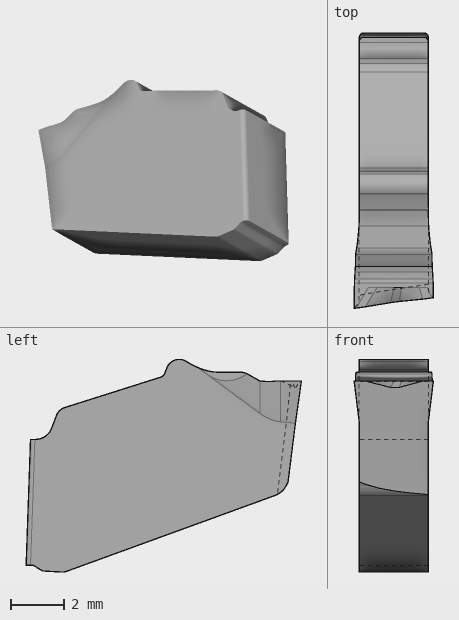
import cadquery as cq
import math


SHANK_HALF_WIDTH = 1.3
HEAD_HALF_WIDTH = 1.497
BLANK_HALF_WIDTH = 2.0

LAND_Z = 7.2
LAND_DIP = 0.02
DECK_Z = 7.525
SEAT_Z = 5.0
REAR_FOOT_Z = 0.26
BOTTOM_SLOPE = math.tan(math.radians(20))
RAMP_SLOPE = 0.317
REAR_FALL = math.tan(math.radians(2))
REAR_BOTTOM_Y = 10.36
KEEL_Y = 8.92
CHIN_Y = 0.705
CHIN_SLOPE = 2.0
BLANK_FRONT_Y = -0.3
REAR_EDGE_RADIUS = 0.17

LEAD_SLOPE = 0.134
NOSE_CLEARANCE = 0.125

SIDE_RELIEF = 0.122
FRONT_TAPER = 0.011
BACK_TAPER = 0.09
RELIEF_CORNER_Y = 1.18
RELIEF_BLEND = 0.39
RELIEF_END_Y = 5.0
RELIEF_BOTTOM_Z = 5.0
RELIEF_TOP_Z = 8.2

SCALLOP_Y = 2.83
SCALLOP_Z = 8.41
SCALLOP_RADIUS = 1.22
SCALLOP_DEPTH = 0.16

GROOVE_REAR_Y = 0.79
GROOVE_REAR_X = (-0.96, -0.63, 0.01, 0.29, 0.96, 1.26)
GROOVE_FRONT_X = (-1.45, -1.1, -0.14, 0.2, 1.1, 1.46)
GROOVE_DEPTH = 0.285
GROOVE_SHOULDER_DEPTH = 0.012
GROOVE_OVERRUN = 0.05
GROOVE_HEADROOM = 0.3


def rounded_outline(corners):
    """Closed YZ wire through (y, z, radius) corners, with a tangent arc at every radius above zero."""
    pieces = []
    for i, (y, z, radius) in enumerate(corners):
        corner = cq.Vector(y, z)
        if radius == 0:
            pieces.append((corner, None, corner))
            continue
        before = cq.Vector(*corners[i - 1][:2])
        after = cq.Vector(*corners[(i + 1) % len(corners)][:2])
        to_before = (before - corner).normalized()
        to_after = (after - corner).normalized()
        half_angle = to_before.getAngle(to_after) / 2
        reach = radius / math.tan(half_angle)
        bisector = (to_before + to_after).normalized()
        middle = corner + bisector * (radius / math.sin(half_angle) - radius)
        pieces.append((corner + to_before * reach, middle, corner + to_after * reach))

    outline = cq.Workplane("YZ").moveTo(pieces[0][2].x, pieces[0][2].y)
    for start, middle, end in pieces[1:] + pieces[:1]:
        outline = outline.lineTo(start.x, start.y)
        if middle is not None:
            outline = outline.threePointArc((middle.x, middle.y), (end.x, end.y))
    return outline.close()


def side_profile():
    """Side outline, starting at the rear foot and along the bottom to the nose and back over the top."""
    chin_z = BOTTOM_SLOPE * (KEEL_Y - CHIN_Y)
    chin_top_z = chin_z + CHIN_SLOPE * (CHIN_Y - BLANK_FRONT_Y)
    ramp_front = (5.19, 7.374)
    ramp_rear_y = 9.13
    ramp_rear_z = ramp_front[1] - RAMP_SLOPE * (ramp_rear_y - ramp_front[0])
    rear_top_y = REAR_BOTTOM_Y - REAR_FALL * (SEAT_Z - REAR_FOOT_Z)
    dip_z = LAND_Z - LAND_DIP
    return rounded_outline([
        (REAR_BOTTOM_Y, REAR_FOOT_Z, 0),
        (10.08, REAR_FOOT_Z, 0.2),
        (9.74, 0.045, 0.2),
        (KEEL_Y, 0, 0.5),
        (CHIN_Y, chin_z, 0.8),
        (BLANK_FRONT_Y, chin_top_z, 0),
        (BLANK_FRONT_Y, LAND_Z, 0),
        (0.95, LAND_Z, 0),
        (1.1, dip_z, 0),
        (1.37, dip_z, 0),
        (1.57, LAND_Z, 0),
        (2.15, DECK_Z, 0.5),
        (3.4, DECK_Z, 1.8),
        (4.03, 7.74, 2.8),
        (4.838, 8.255, 0.5),
        (*ramp_front, 0.2),
        (ramp_rear_y, ramp_rear_z, 0.5),
        (9.557, SEAT_Z, 0.64),
        (rear_top_y, SEAT_Z, 0),
    ])


def prism(half_width):
    """Side outline made solid, symmetric about X = 0."""
    return side_profile().extrude(half_width, both=True)


def head_half_width(y, z=LAND_Z):
    """Half-width of the head between its relief faces, before the blend."""
    front_part = min(y, RELIEF_CORNER_Y)
    back_part = max(y - RELIEF_CORNER_Y, 0)
    at_land = HEAD_HALF_WIDTH - FRONT_TAPER * front_part - BACK_TAPER * back_part
    return at_land + SIDE_RELIEF * (z - LAND_Z)


def relief_section(z):
    """Horizontal section through the relief faces at height z."""
    blend_front = RELIEF_CORNER_Y - RELIEF_BLEND
    blend_back = RELIEF_CORNER_Y + RELIEF_BLEND
    width_front = head_half_width(blend_front, z)
    width_back = head_half_width(blend_back, z)
    width_corner = head_half_width(RELIEF_CORNER_Y, z)
    width_middle = (2 * width_corner + width_front + width_back) / 4
    width_nose = head_half_width(BLANK_FRONT_Y, z)
    width_end = head_half_width(RELIEF_END_Y, z)
    outline = (
        cq.Workplane("XY", origin=(0, 0, z))
        .moveTo(-width_nose, BLANK_FRONT_Y)
        .lineTo(width_nose, BLANK_FRONT_Y)
        .lineTo(width_front, blend_front)
        .threePointArc((width_middle, RELIEF_CORNER_Y), (width_back, blend_back))
        .lineTo(width_end, RELIEF_END_Y)
        .lineTo(-width_end, RELIEF_END_Y)
        .lineTo(-width_back, blend_back)
        .threePointArc((-width_middle, RELIEF_CORNER_Y), (-width_front, blend_front))
        .close()
    )
    return outline.val()


def ruled_solid(first, second):
    """Solid with straight-ruled faces between two closed wires."""
    return cq.Workplane(obj=cq.Solid.makeLoft([first, second], True))


def scallop(side):
    """Cone sunk into the rear relief face on one side (-1 or +1)."""
    centre = cq.Vector(side * head_half_width(SCALLOP_Y, SCALLOP_Z), SCALLOP_Y, SCALLOP_Z)
    outward = cq.Vector(side, BACK_TAPER, -SIDE_RELIEF).normalized()
    cone = cq.Solid.makeCone(SCALLOP_RADIUS, 0, SCALLOP_DEPTH, centre, outward * -1)
    return cq.Workplane(obj=cone)


def cutting_head():
    """Wide profile trimmed to the relief faces and scalloped on both sides."""
    envelope = ruled_solid(relief_section(RELIEF_BOTTOM_Z), relief_section(RELIEF_TOP_Z))
    head = prism(BLANK_HALF_WIDTH).intersect(envelope)
    for side in (-1, 1):
        head = head.cut(scallop(side))
    return head


def nose_y(x, z=LAND_Z):
    """Y of the nose face."""
    return LEAD_SLOPE * (x + HEAD_HALF_WIDTH) + NOSE_CLEARANCE * (LAND_Z - z)


def nose_cutter():
    """Everything in front of the inclined nose face."""
    origin = (0, nose_y(0), LAND_Z)
    forward = cq.Vector(LEAD_SLOPE, -1, -NOSE_CLEARANCE)
    plane = cq.Plane(origin=origin, xDir=(1, LEAD_SLOPE, 0), normal=forward)
    block_size = 2 * REAR_BOTTOM_Y
    return cq.Workplane(plane).rect(block_size, block_size).extrude(block_size / 2)


def groove_cutter():
    """Flared chip groove, running from nothing at its rear line to full depth at the cutting edge."""
    depths = (0, GROOVE_SHOULDER_DEPTH, GROOVE_DEPTH, GROOVE_DEPTH, GROOVE_SHOULDER_DEPTH, 0)
    top_z = LAND_Z + GROOVE_HEADROOM
    rear = [(x, GROOVE_REAR_Y, LAND_Z) for x in GROOVE_REAR_X]
    front = [(x, nose_y(x) - GROOVE_OVERRUN, LAND_Z - d) for x, d in zip(GROOVE_FRONT_X, depths)]
    wires = []
    for floor in (rear, front):
        lid = [(x, y, top_z) for x, y, _ in (floor[-1], floor[0])]
        wires.append(cq.Wire.makePolygon([cq.Vector(*p) for p in floor + lid], close=True))
    return ruled_solid(*wires)


def shank():
    """Constant-width body with its two upright rear edges rounded."""
    return prism(SHANK_HALF_WIDTH).faces(">Y").edges("not |X").fillet(REAR_EDGE_RADIUS)


result = shank().union(cutting_head()).cut(nose_cutter()).cut(groove_cutter())